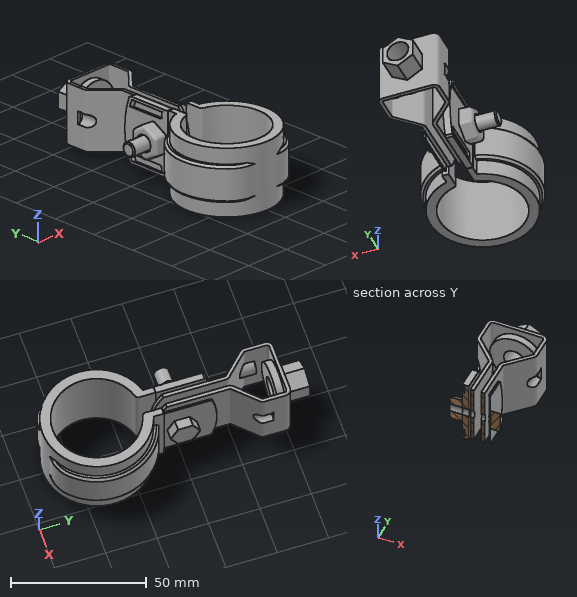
import cadquery as cq
import math


ring_height = 28.0
ring_radius = 21.02
bore_radius = 17.0
ear_gap = 7.0
ear_thickness = 2.6
ear_tip_y = 24.15
ear_root_radius = 1.5
ear_inner_x = ear_gap / 2
ear_outer_x = ear_inner_x + ear_thickness

belt_height = 15.0
belt_radius = 23.01
belt_chamfer = 1.0
belt_run_out_radius = 13.1
belt_flat_y = -20.16

bolt_y = 31.5
bolt_diameter = 6.0
bolt_tip_diameter = 4.92
bolt_tip_x = -19.7
bolt_head_across_flats = 10.0
bolt_head_height = 4.0
bolt_clearance_diameter = 7.0

plate_thickness = 2.8
plate_half_width = 13.7
plate_tip_y = 46.3
plate_tip_radius = 40.0
plate_corner_width = 0.6
plate_corner_length = 0.9
plate_outer_x = -ear_inner_x - plate_thickness
strap_thickness = 0.7
strap_inner_x = 4.5
strap_outer_x = strap_inner_x + strap_thickness
strap_half_width = 12.2
strap_tip_y = 45.1

pocket_depth = 1.0
pocket_ramp_length = 1.2
pocket_root_y = 27.2
pocket_inner_z = 9.4
pocket_outer_z = 12.45
pocket_inner_end_y = 43.8
pocket_outer_end_y = 42.7
pocket_corner_radius = 1.3

nut_across_flats = 12.8
nut_height = 5.2
nut_draft = 2.0
nut_edge_radius = 1.5

sheet = 1.5
bracket_width = 25.0
bracket_half_span = 12.15
bracket_back_y = 72.0
bracket_leg_gap = 2.8
bracket_shoulder_y = 60.3
bracket_leg_tip_y = 22.0
bracket_tip_radius = 20.0
bend_inner_radius = 1.0
bend_outer_radius = bend_inner_radius + sheet
bracket_leg_outer_x = bracket_leg_gap / 2 + sheet

dimple_radius = 2.6
dimple_top_y = 64.9

flange_diameter = 20.0
flange_thickness = 3.0
hex_across_flats = 12.0
hex_length = 9.0
thread_diameter = 8.5
flange_back_y = bracket_back_y - sheet


def hexagon_diameter(across_flats):
    return across_flats / math.cos(math.radians(30))


def bolt_cylinder(diameter, start_x, end_x):
    """Cylinder on the clamp bolt axis."""
    plane = cq.Workplane("YZ", origin=(start_x, bolt_y, 0))
    return plane.circle(diameter / 2).extrude(end_x - start_x)


def belt_profile():
    """Belt outline: a round of the belt radius that runs out tangentially to a flat."""
    arc_y = belt_flat_y + belt_run_out_radius
    centre_distance = belt_radius - belt_run_out_radius
    arc_x = math.sqrt(centre_distance**2 - arc_y**2)
    tangent_x = arc_x * belt_radius / centre_distance
    tangent_y = arc_y * belt_radius / centre_distance
    middle_angle = (math.atan2(arc_y, arc_x) - math.pi / 2) / 2
    middle_x = arc_x + belt_run_out_radius * math.cos(middle_angle)
    middle_y = arc_y + belt_run_out_radius * math.sin(middle_angle)
    return (
        cq.Workplane("XY", origin=(0, 0, -belt_height / 2))
        .moveTo(-arc_x, belt_flat_y)
        .lineTo(arc_x, belt_flat_y)
        .threePointArc((middle_x, middle_y), (tangent_x, tangent_y))
        .threePointArc((0, belt_radius), (-tangent_x, tangent_y))
        .threePointArc((-middle_x, middle_y), (-arc_x, belt_flat_y))
        .close()
    )


def make_clamp_ring():
    belt = belt_profile().extrude(belt_height).faces("|Z").edges().chamfer(belt_chamfer)
    body = cq.Workplane("XY").circle(ring_radius).extrude(ring_height / 2, both=True).union(belt)
    ear_block = cq.Workplane("XY").box(2 * ear_outer_x, ear_tip_y, ring_height, centered=(True, False, True))
    ear_zone = cq.Workplane("XY").box(2 * ear_outer_x, belt_radius, ring_height, centered=(True, False, True))
    body = body.cut(ear_zone).union(ear_block)
    bore = cq.Workplane("XY").circle(bore_radius).extrude(ring_height / 2, both=True)
    gap = cq.Workplane("XY").box(ear_gap, 2 * belt_radius, ring_height, centered=(True, False, True))
    body = body.cut(bore).cut(gap)
    root_y = math.sqrt(bore_radius**2 - ear_inner_x**2)
    for side in (-1, 1):
        body = body.edges(cq.NearestToPointSelector((side * ear_inner_x, root_y, 0))).fillet(ear_root_radius)
    return body


def tab(inner_x, thickness, half_width, tip_y):
    """Flat tab on an ear with a gently rounded tip and small cut corners."""
    corner_z = half_width - plate_corner_width
    corner_y = tip_y - plate_tip_radius + math.sqrt(plate_tip_radius**2 - corner_z**2)
    return (
        cq.Workplane("YZ", origin=(inner_x, 0, 0))
        .moveTo(ear_tip_y, -half_width)
        .lineTo(corner_y - plate_corner_length, -half_width)
        .lineTo(corner_y, -corner_z)
        .threePointArc((tip_y, 0), (corner_y, corner_z))
        .lineTo(corner_y - plate_corner_length, half_width)
        .lineTo(ear_tip_y, half_width)
        .close()
        .extrude(thickness)
        .cut(bolt_cylinder(bolt_clearance_diameter, inner_x, inner_x + thickness))
    )


def plate_pocket():
    """Pocket along the upper edge of the nut plate, with a ramp at its slanted end."""
    pocket = (
        cq.Workplane("YZ", origin=(plate_outer_x, 0, 0))
        .moveTo(pocket_root_y, pocket_inner_z)
        .lineTo(pocket_root_y, pocket_outer_z)
        .lineTo(pocket_outer_end_y, pocket_outer_z)
        .lineTo(pocket_inner_end_y, pocket_inner_z)
        .close()
        .extrude(pocket_depth)
    )
    root_corner = cq.NearestToPointSelector((plate_outer_x + pocket_depth / 2, pocket_root_y, pocket_inner_z))
    pocket = pocket.edges(root_corner).fillet(pocket_corner_radius)
    ramp = (
        cq.Workplane("XY", origin=(0, 0, pocket_inner_z))
        .moveTo(plate_outer_x, pocket_inner_end_y)
        .lineTo(plate_outer_x + pocket_depth, pocket_inner_end_y)
        .lineTo(plate_outer_x + pocket_depth, pocket_inner_end_y - pocket_ramp_length)
        .close()
        .workplane(offset=pocket_outer_z - pocket_inner_z)
        .moveTo(plate_outer_x, pocket_outer_end_y)
        .lineTo(plate_outer_x + pocket_depth, pocket_outer_end_y)
        .lineTo(plate_outer_x + pocket_depth, pocket_outer_end_y - pocket_ramp_length)
        .close()
        .loft(ruled=True)
    )
    return pocket.cut(ramp)


def make_nut_plate():
    plate = tab(plate_outer_x, plate_thickness, plate_half_width, plate_tip_y)
    pocket = plate_pocket()
    return plate.cut(pocket).cut(pocket.mirror("XY"))


def make_strap():
    return tab(strap_inner_x, strap_thickness, strap_half_width, strap_tip_y)


def make_clamp_nut():
    nut = (
        cq.Workplane("YZ", origin=(plate_outer_x, bolt_y, 0))
        .transformed(rotate=(0, 0, 90))
        .polygon(6, hexagon_diameter(nut_across_flats))
        .extrude(-nut_height, taper=nut_draft)
    )
    nut = nut.edges("not #X").fillet(nut_edge_radius)
    nut = nut.faces("<X").edges().fillet(nut_edge_radius)
    return nut.cut(bolt_cylinder(bolt_clearance_diameter, plate_outer_x - nut_height, plate_outer_x))


def make_bolt():
    tip_chamfer = (bolt_diameter - bolt_tip_diameter) / 2
    shank = bolt_cylinder(bolt_diameter, bolt_tip_x, strap_outer_x).faces("<X").chamfer(tip_chamfer)
    head = (
        cq.Workplane("YZ", origin=(strap_outer_x, bolt_y, 0))
        .polygon(6, hexagon_diameter(bolt_head_across_flats))
        .extrude(bolt_head_height)
    )
    return shank.union(head)


def funnel(inset, wide_bend, leg_bend):
    """Solid inside the bracket's outer faces, moved inwards by the inset."""
    side_x = bracket_half_span - inset
    leg_x = bracket_leg_outer_x - inset
    shoulder_y = bracket_shoulder_y + inset * math.tan(math.radians(22.5))
    leg_top_y = shoulder_y - (side_x - leg_x)
    half = [
        (leg_x, bracket_leg_tip_y),
        (leg_x, leg_top_y),
        (side_x, shoulder_y),
        (side_x, bracket_back_y - inset),
    ]
    other_half = [(-x, y) for x, y in reversed(half)]
    body = cq.Workplane("XY").polyline(half + other_half).close().extrude(bracket_width / 2, both=True)
    bend_split_y = (leg_top_y + shoulder_y) / 2
    wide_corners = [edge for edge in body.edges("|Z").vals() if edge.Center().y > bend_split_y]
    body = body.newObject(wide_corners).fillet(wide_bend)
    leg_corners = [
        edge for edge in body.edges("|Z").vals() if abs(edge.Center().y - leg_top_y) < bend_inner_radius / 10
    ]
    return body.newObject(leg_corners).fillet(leg_bend)


def make_bracket():
    outer = funnel(0, bend_outer_radius, bend_inner_radius)
    inner = funnel(sheet, bend_inner_radius, bend_outer_radius)
    bracket = outer.cut(inner)
    for side in (-1, 1):
        dimple_axis = cq.Workplane("XZ", origin=(side * bracket_half_span, dimple_top_y, 0))
        dimple_length = dimple_top_y - bracket_leg_tip_y
        groove = dimple_axis.circle(dimple_radius).extrude(dimple_length)
        shell = dimple_axis.circle(dimple_radius + sheet).extrude(dimple_length).intersect(outer)
        bracket = bracket.union(shell).cut(groove)
    leg_end = (
        cq.Workplane("YZ")
        .center(bracket_leg_tip_y + bracket_tip_radius, 0)
        .circle(bracket_tip_radius)
        .extrude(bracket_half_span, both=True)
    )
    leg_zone = cq.Workplane("XY").box(
        2 * bracket_half_span, 2 * (bolt_y - bracket_leg_tip_y), bracket_width
    ).translate((0, bracket_leg_tip_y, 0))
    bracket = bracket.cut(leg_zone.cut(leg_end))
    bracket = bracket.cut(suspension_nut_blank())
    return bracket.cut(bolt_cylinder(bolt_clearance_diameter, -bracket_leg_outer_x, bracket_leg_outer_x))


def suspension_nut_blank():
    """Round flange inside the bracket with a hexagon passing out through its back."""
    flange_plane = cq.Workplane("XZ", origin=(0, flange_back_y, 0))
    flange = flange_plane.circle(flange_diameter / 2).extrude(flange_thickness)
    hexagon = (
        flange_plane
        .transformed(rotate=(0, 0, 90))
        .polygon(6, hexagon_diameter(hex_across_flats))
        .extrude(-(hex_length + sheet))
    )
    return flange.union(hexagon)


def make_suspension_nut():
    thread = (
        cq.Workplane("XZ", origin=(0, bracket_back_y + hex_length, 0))
        .circle(thread_diameter / 2)
        .extrude(hex_length + sheet + flange_thickness)
    )
    return suspension_nut_blank().cut(thread)


suspension_nut = make_suspension_nut()
bracket = make_bracket()

clamp_ring = make_clamp_ring()
nut_plate = make_nut_plate()
strap = make_strap()
clamp_nut = make_clamp_nut()
bolt = make_bolt()

result = cq.Compound.makeCompound([
    clamp_ring.val(),
    nut_plate.val(),
    strap.val(),
    clamp_nut.val(),
    bolt.val(),
    bracket.val(),
    suspension_nut.val(),
])